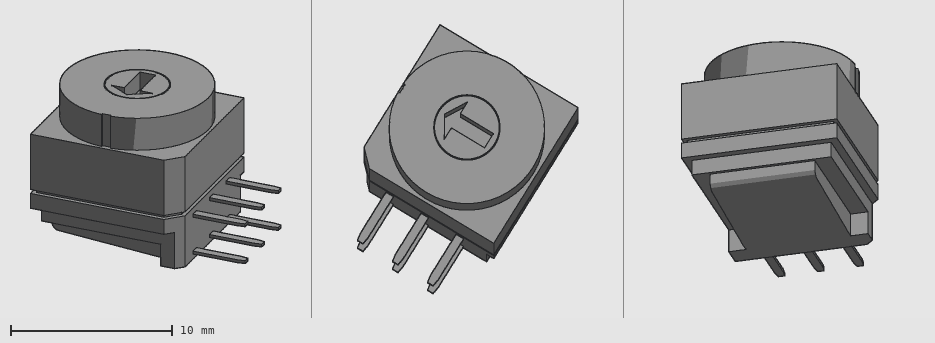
import cadquery as cq
import math

part_height = 9.8
housing_top = 7.6
housing_bottom = 3.8
plate_top = 3.52
plate_bottom = 2.5
step_bottom = 1.5

body_size = 10.0
corner_chamfer = 1.0
neck_inset = 0.28
step_inset = 0.51

rotor_diameter = 9.6
notch_width = 0.6
notch_depth = 0.14
ring_outer_diameter = 4.1
ring_inner_diameter = 4.0
ring_depth = 0.1
arrow_depth = 1.2
arrow_half_length = 1.6
arrow_shoulder = 0.8
arrow_head_half_width = 1.39
arrow_shaft_half_width = 0.53

foot_length = 1.45
block_inset = 0.73
block_width = 6.75
block_end_height = 0.5
block_slope_length = 7.22
block_radius = 0.5

part_length = 13.5
pin_pitch = 2.54
pin_width = 0.55
pin_thickness = 0.2
pin_upper_height = 3.0
pin_tip_length = 0.5
pin_tip_width = 0.4
pin_embed = 0.5

half_body = body_size / 2
half_step = half_body - step_inset
foot_start = half_body - foot_length


def layer(outline, bottom, top):
    """Solid between two heights with the given corner points in plan."""
    return cq.Workplane("XY").workplane(offset=bottom).polyline(outline).close().extrude(top - bottom)


def cut_corner_square(inset):
    """Body square with its (+X, -Y) corner cut off, all walls set in by the same distance."""
    side = half_body - inset
    leg = corner_chamfer - (2 - math.sqrt(2)) * inset
    return [(-side, -side), (side - leg, -side), (side, leg - side), (side, side), (-side, side)]


def narrowed_outline(start):
    """Plan from the given X to the +X wall, narrowed along Y, with the same corner cut."""
    leg = corner_chamfer - step_inset
    return [
        (start, -half_step),
        (half_body - leg, -half_step),
        (half_body, leg - half_step),
        (half_body, half_step),
        (start, half_step),
    ]


def sloping_block():
    """Block under the step whose underside rises away from the foot to a rounded end."""
    end = block_inset - half_body
    profile = (
        cq.Workplane("XZ")
        .moveTo(end, step_bottom)
        .lineTo(end, block_end_height)
        .lineTo(end + block_slope_length, 0)
        .lineTo(foot_start, 0)
        .lineTo(foot_start, step_bottom)
        .close()
    )
    block = profile.extrude(block_width / 2, both=True)
    corner = cq.selectors.NearestToPointSelector((end, 0, block_end_height))
    return block.edges(corner).fillet(block_radius)


def make_rotor():
    """Round rotor with an index notch, a ring groove and an arrow-shaped driver slot."""
    rotor = (
        cq.Workplane("XY")
        .workplane(offset=housing_top)
        .circle(rotor_diameter / 2)
        .extrude(part_height - housing_top)
    )
    notch = (
        cq.Workplane("XY")
        .workplane(offset=housing_top)
        .center(0, -rotor_diameter / 2)
        .rect(notch_width, 2 * notch_depth)
        .extrude(part_height - housing_top)
    )
    ring = (
        cq.Workplane("XY")
        .workplane(offset=part_height - ring_depth)
        .circle(ring_outer_diameter / 2)
        .circle(ring_inner_diameter / 2)
        .extrude(ring_depth)
    )
    arrow_outline = [
        (-arrow_shaft_half_width, arrow_half_length),
        (arrow_shaft_half_width, arrow_half_length),
        (arrow_shaft_half_width, -arrow_shoulder),
        (arrow_head_half_width, -arrow_shoulder),
        (0, -arrow_half_length),
        (-arrow_head_half_width, -arrow_shoulder),
        (-arrow_shaft_half_width, -arrow_shoulder),
    ]
    arrow = layer(arrow_outline, part_height - arrow_depth, part_height)
    return rotor.cut(notch).cut(ring).cut(arrow)


def make_pin(pin_y, pin_z):
    """Flat terminal along X with a tapered tip, centred at the given Y and Z."""
    tip = part_length - half_body
    shoulder = tip - pin_tip_length
    outline = [
        (half_body - pin_embed, -pin_width / 2),
        (shoulder, -pin_width / 2),
        (tip, -pin_tip_width / 2),
        (tip, pin_tip_width / 2),
        (shoulder, pin_width / 2),
        (half_body - pin_embed, pin_width / 2),
    ]
    return layer(outline, -pin_thickness / 2, pin_thickness / 2).translate((0, pin_y, pin_z))


result = layer(cut_corner_square(0), housing_bottom, housing_top)
result = result.union(layer(cut_corner_square(neck_inset), plate_top, housing_bottom))
result = result.union(layer(cut_corner_square(0), plate_bottom, plate_top))

result = result.union(layer(narrowed_outline(-half_step), step_bottom, plate_bottom))
result = result.union(layer(narrowed_outline(foot_start), 0, step_bottom))
result = result.union(sloping_block())

result = result.union(make_rotor())

for pin_z in (pin_upper_height, pin_upper_height - pin_pitch):
    for column in (-1, 0, 1):
        result = result.union(make_pin(column * pin_pitch, pin_z))